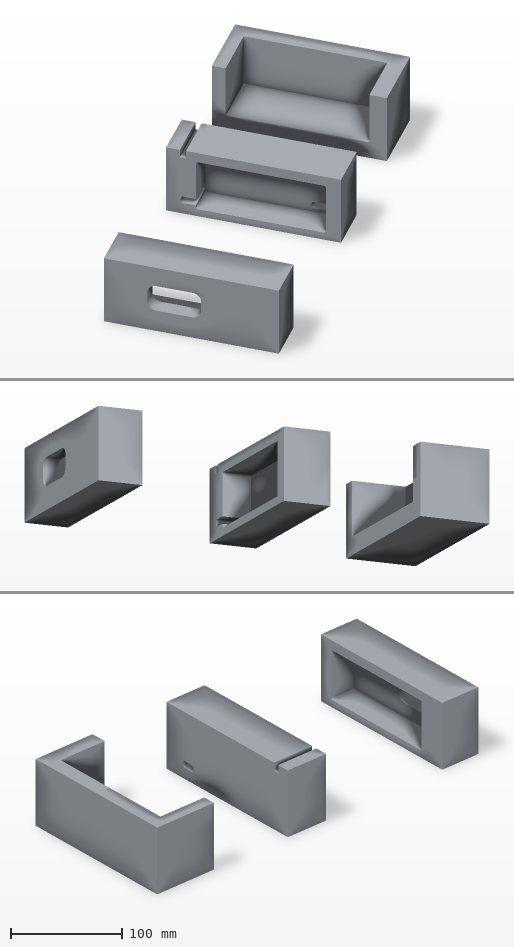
import cadquery as cq

LENGTH = 165.0
HEIGHT = 69.0
ROW_DEPTH = 384.0

TRAY_DEPTH = 68.0
TRAY_LEFT_WALL = 13.0
TRAY_RIGHT_WALL = 16.5
TRAY_BACK_WALL = 15.5
TRAY_FLOOR = 17.3

FRAME_DEPTH = 45.7
FRAME_FRONT = 182.0
FRAME_BACK_WALL = 17.3

COVER_DEPTH = 43.0
COVER_FRONT_WALL = 14.5

CAVITY_LEFT_WALL = 28.0
CAVITY_RIGHT_WALL = 14.2
CAVITY_FLOOR = 7.5
CAVITY_ROOF = 10.0
CAVITY_RADIUS = 2.0

GROOVE_LEFT = 13.0
GROOVE_WIDTH = 5.8
GROOVE_DEPTH = 8.0

PORT_LENGTH = 14.2
PORT_HEIGHT = 7.0
PORT_BOTTOM = 11.5
PORT_RADIUS = 2.3
NOTCH_LEFT = CAVITY_LEFT_WALL - PORT_LENGTH
HOLE_LEFT = 128.3

WINDOW_LEFT = 41.0
WINDOW_BOTTOM = 22.3
WINDOW_LENGTH = 50.5
WINDOW_HEIGHT = 27.0
WINDOW_RADIUS = 8.5


def box(left, front, bottom, length, depth, height):
    """Box placed by its left, front, bottom corner."""
    return cq.Workplane("XY").box(length, depth, height, centered=False).translate((left, front, bottom))


def rounded_box(left, front, bottom, length, depth, height, radius):
    """Box whose four edges along Y are rounded."""
    return box(left, front, bottom, length, depth, height).edges("|Y").fillet(radius)


def cavity(front, depth):
    """Cutter with the shared cavity section."""
    length = LENGTH - CAVITY_LEFT_WALL - CAVITY_RIGHT_WALL
    height = HEIGHT - CAVITY_FLOOR - CAVITY_ROOF
    return rounded_box(CAVITY_LEFT_WALL, front, CAVITY_FLOOR, length, depth, height, CAVITY_RADIUS)


def cable_port(left, front, length, depth):
    """Cutter with the height and rounding of the cable ports."""
    return rounded_box(left, front, PORT_BOTTOM, length, depth, PORT_HEIGHT, PORT_RADIUS)


def make_tray():
    front = ROW_DEPTH - TRAY_DEPTH
    block = box(0, front, 0, LENGTH, TRAY_DEPTH, HEIGHT)
    recess = box(
        TRAY_LEFT_WALL,
        front,
        TRAY_FLOOR,
        LENGTH - TRAY_LEFT_WALL - TRAY_RIGHT_WALL,
        TRAY_DEPTH - TRAY_BACK_WALL,
        HEIGHT - TRAY_FLOOR,
    )
    return block.cut(recess)


def make_frame():
    pocket_depth = FRAME_DEPTH - FRAME_BACK_WALL
    block = box(0, FRAME_FRONT, 0, LENGTH, FRAME_DEPTH, HEIGHT)
    groove = box(GROOVE_LEFT, FRAME_FRONT, HEIGHT - GROOVE_DEPTH, GROOVE_WIDTH, FRAME_DEPTH, GROOVE_DEPTH)

    notch = cable_port(NOTCH_LEFT, FRAME_FRONT, PORT_LENGTH + PORT_RADIUS, pocket_depth)
    hole = cable_port(HOLE_LEFT, FRAME_FRONT + pocket_depth, PORT_LENGTH, FRAME_BACK_WALL)
    return block.cut(cavity(FRAME_FRONT, pocket_depth)).cut(groove).cut(notch).cut(hole)


def make_cover():
    block = box(0, 0, 0, LENGTH, COVER_DEPTH, HEIGHT)
    hollow = cavity(COVER_FRONT_WALL, COVER_DEPTH - COVER_FRONT_WALL)
    window = rounded_box(
        WINDOW_LEFT, 0, WINDOW_BOTTOM, WINDOW_LENGTH, COVER_FRONT_WALL, WINDOW_HEIGHT, WINDOW_RADIUS
    )
    return block.cut(hollow).cut(window)


tray = make_tray()
frame = make_frame()
cover = make_cover()

result = cq.Compound.makeCompound([tray.val(), frame.val(), cover.val()])